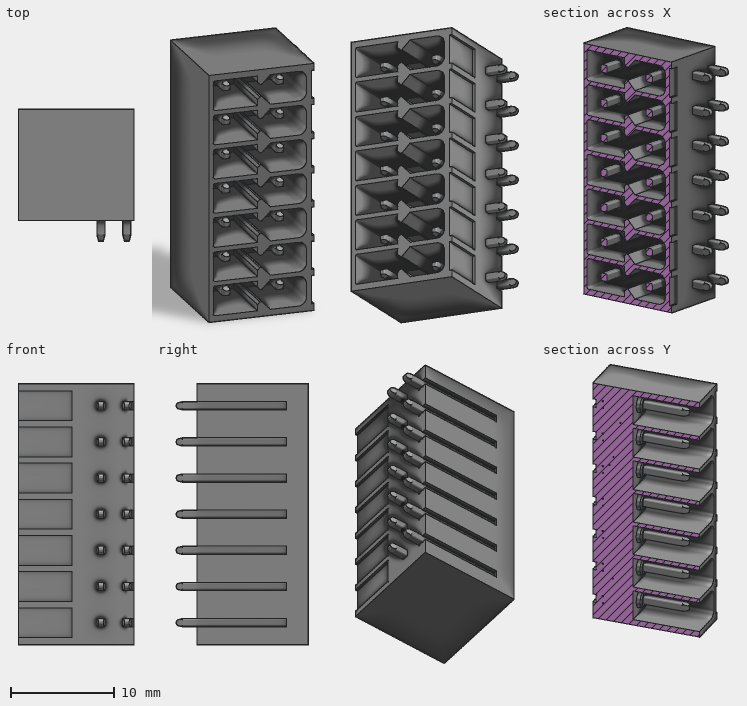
import cadquery as cq

housing_depth = 11.2
housing_width = 10.8
housing_height = 25.3
row_count = 7
end_row_margin = 2.15
row_pitch = (housing_height - 2 * end_row_margin) / (row_count - 1)

cavity_depth = 6.95
cavity_height = 3.04
cavity_near_y = 0.78
cavity_far_y = 10.35
cavity_near_radius = 0.85
cavity_far_radius = 0.2

rib_height = 0.89
rib_straight_y = 5.82
rib_tip_far_y = 5.57
rib_tip_near_y = 5.36
rib_chamfer = rib_straight_y - rib_tip_far_y

recess_length = 5.2
recess_height = 2.88
recess_depth = 0.25

pin_width = 0.8
pin_edge_radius = 0.18
pin_tip_length = 0.63
pin_tip_width = 0.45
pin_tip_round_width = 0.6
pin_tip_round_height = 0.2
contact_start_x = 1.77
solder_length = 2.0
near_contact_y = 2.75
far_contact_y = 8.27
near_solder_x = 8.0
far_solder_x = 10.5

collar_base_radius = 0.9
collar_shoulder_radius = 0.78
collar_top_radius = 0.65
collar_shoulder_height = 0.35
collar_height = 0.5

row_heights = [(row - (row_count - 1) / 2) * row_pitch for row in range(row_count)]


def make_cavity():
    """Cavity of the row at Z = 0, cut from the open face."""
    half = cavity_height / 2
    width = cavity_far_y - cavity_near_y
    middle_y = (cavity_far_y + cavity_near_y) / 2
    cavity = cq.Workplane("YZ").center(middle_y, 0).rect(width, cavity_height).extrude(cavity_depth)
    cavity = cavity.edges("|X and <Y").fillet(cavity_near_radius)
    cavity = cavity.edges("|X and >Y").fillet(cavity_far_radius)
    tip_z = half - rib_height
    roof_rib = (
        cq.Workplane("YZ")
        .moveTo(rib_straight_y, half)
        .lineTo(rib_straight_y, tip_z + rib_chamfer)
        .lineTo(rib_tip_far_y, tip_z)
        .lineTo(rib_tip_near_y, tip_z)
        .lineTo(rib_tip_near_y - rib_height, half)
        .close()
        .extrude(cavity_depth)
    )
    return cavity.cut(roof_rib).cut(roof_rib.mirror("XY"))


def make_recess():
    """Recess of the row at Z = 0, open at X = 0 and at the soldered face."""
    return cq.Workplane("XY").box(
        recess_length, recess_depth, recess_height, centered=(False, False, True)
    )


def make_back_slot():
    """Slot in the face opposite the openings that takes the outer pin leg of the row at Z = 0."""
    slot_start_x = far_solder_x - pin_width / 2
    slot_length = far_contact_y + pin_width / 2
    return (
        cq.Workplane("XY")
        .box(housing_depth - slot_start_x, slot_length, pin_width, centered=(False, False, True))
        .translate((slot_start_x, 0, 0))
    )


def make_pin(length):
    """Square pin along +Z with its tip at the origin: tip rounded across X, tapered across Y."""
    half = pin_width / 2
    half_round = pin_tip_round_width / 2
    half_tip = pin_tip_width / 2
    shank = cq.Workplane("XY").rect(pin_width, pin_width).extrude(length)
    shank = shank.edges("|Z").fillet(pin_edge_radius)
    rounded = (
        cq.Workplane("XZ")
        .moveTo(-half, length)
        .lineTo(-half, pin_tip_length)
        .lineTo(-half_round, pin_tip_round_height)
        .threePointArc((0, 0), (half_round, pin_tip_round_height))
        .lineTo(half, pin_tip_length)
        .lineTo(half, length)
        .close()
        .extrude(half, both=True)
    )
    tapered = (
        cq.Workplane("YZ")
        .polyline([
            (-half, length),
            (-half, pin_tip_length),
            (-half_tip, 0),
            (half_tip, 0),
            (half, pin_tip_length),
            (half, length),
        ])
        .close()
        .extrude(half, both=True)
    )
    return shank.intersect(rounded).intersect(tapered)


def place(shape, plane):
    """Move a shape so that its own axes lie on those of the plane."""
    return cq.Workplane(shape.val().moved(cq.Location(plane)))


def make_contact(contact_y, solder_x):
    """Angled contact of the row at Z = 0: pin in the cavity, solder leg and floor collar."""
    cavity_pin = place(
        make_pin(solder_x - contact_start_x),
        cq.Plane(origin=(contact_start_x, contact_y, 0), xDir=(0, 1, 0), normal=(1, 0, 0)),
    )
    solder_leg = place(
        make_pin(contact_y + pin_width / 2 + solder_length),
        cq.Plane(origin=(solder_x, -solder_length, 0), xDir=(0, 0, 1), normal=(0, 1, 0)),
    )
    collar = (
        cq.Workplane("XY", origin=(cavity_depth, contact_y, 0))
        .polyline([
            (0, 0),
            (0, collar_base_radius),
            (-collar_shoulder_height, collar_shoulder_radius),
            (-collar_height, collar_top_radius),
            (-collar_height, 0),
        ])
        .close()
        .revolve(360, (0, 0, 0), (1, 0, 0))
    )
    return cavity_pin.union(solder_leg).union(collar)


housing = cq.Workplane("XY").box(
    housing_depth, housing_width, housing_height, centered=(False, False, True)
)
openings = make_cavity().union(make_recess()).union(make_back_slot())
contacts = [
    make_contact(near_contact_y, near_solder_x),
    make_contact(far_contact_y, far_solder_x),
]

result = housing
for row_z in row_heights:
    offset = (0, 0, row_z)
    result = result.cut(openings.translate(offset))
    for contact in contacts:
        result = result.union(contact.translate(offset))